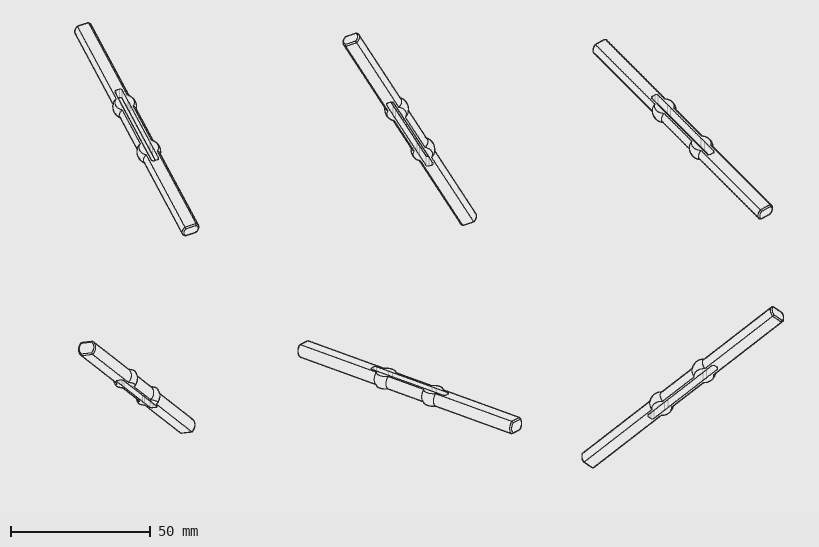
import cadquery as cq

length = 100.0
thickness = 5.0
bar_diameter = 6.6
end_chamfer = 0.5

bulge_spacing = 22.2
bulge_diameter = 8.6

slot_length = 34.8
slot_width = 2.7
slot_corner_radius = 0.8

scallop_spacing = 20.3
scallop_length = 1.9
scallop_depth = 0.05


def make_round_bar():
    """Round bar along X with chamfered ends and two spherical bulges."""
    bar = cq.Workplane("YZ").circle(bar_diameter / 2).extrude(length / 2, both=True)
    bar = bar.faces("<X or >X").chamfer(end_chamfer)
    for x in (-bulge_spacing / 2, bulge_spacing / 2):
        bar = bar.union(cq.Workplane("XY").sphere(bulge_diameter / 2).translate((x, 0, 0)))
    return bar


def make_slab():
    """Slab between the flat faces, chamfered where they meet the ends."""
    slab = cq.Workplane("XY").box(length, bulge_diameter, thickness)
    return slab.faces("<X or >X").edges("|Y").chamfer(end_chamfer)


def make_scallop_pair(x):
    """Bar with arced ends across the slot, cutting one scallop into each long wall."""
    half_length = scallop_length / 2
    wall_y = slot_width / 2
    deepest_y = wall_y + scallop_depth
    return (
        cq.Workplane("XY")
        .moveTo(x - half_length, -wall_y)
        .lineTo(x - half_length, wall_y)
        .threePointArc((x, deepest_y), (x + half_length, wall_y))
        .lineTo(x + half_length, -wall_y)
        .threePointArc((x, -deepest_y), (x - half_length, -wall_y))
        .close()
        .extrude(thickness / 2, both=True)
    )


def make_slot():
    """Through slot with rounded corners and scalloped long walls."""
    slot = cq.Workplane("XY").box(slot_length, slot_width, thickness)
    slot = slot.edges("|Z").fillet(slot_corner_radius)
    for x in (-scallop_spacing / 2, scallop_spacing / 2):
        slot = slot.union(make_scallop_pair(x))
    return slot


flat_bar = make_round_bar().intersect(make_slab())
result = flat_bar.cut(make_slot())